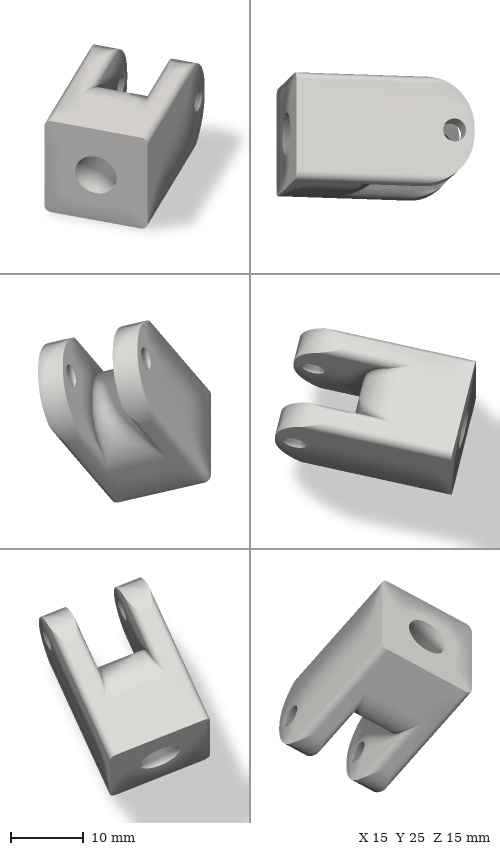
import cadquery as cq

length = 25.0
width = 15.0
edge_radius = 1.0
prong_thickness = 3.75
end_radius = 7.0
floor_y = 15.0
pin_diameter = 3.2
pin_y = 22.2
bore_diameter = 6.0
bore_depth = 10.0

prong_offset = (width - prong_thickness) / 2


def bar(bar_width, bar_length, center_x=0.0):
    """Square-edged bar along Y, starting at the base face."""
    block = cq.Workplane("XY").box(bar_width, bar_length, width, centered=(True, False, True))
    return block.translate((center_x, 0, 0))


def edge_rounded_bar(bar_width, center_x=0.0):
    """Full-length bar with rounded lengthwise edges."""
    return bar(bar_width, length, center_x).edges("|Y").fillet(edge_radius)


def end_rounded_block(block_width, reach):
    """Block whose far end is rounded at the top and bottom."""
    return bar(block_width, reach).faces(">Y").edges("|X").fillet(end_radius)


body = end_rounded_block(2 * prong_offset, floor_y)
tip_envelope = end_rounded_block(width, length)
for side in (-1, 1):
    prong = edge_rounded_bar(prong_thickness, side * prong_offset)
    body = body.union(prong.intersect(tip_envelope))

pin_hole = (
    cq.Workplane("YZ")
    .center(pin_y, 0)
    .circle(pin_diameter / 2)
    .extrude(width / 2, both=True)
)

bore = cq.Workplane("XZ").circle(bore_diameter / 2).extrude(-bore_depth)

result = body.cut(pin_hole).cut(bore).clean()